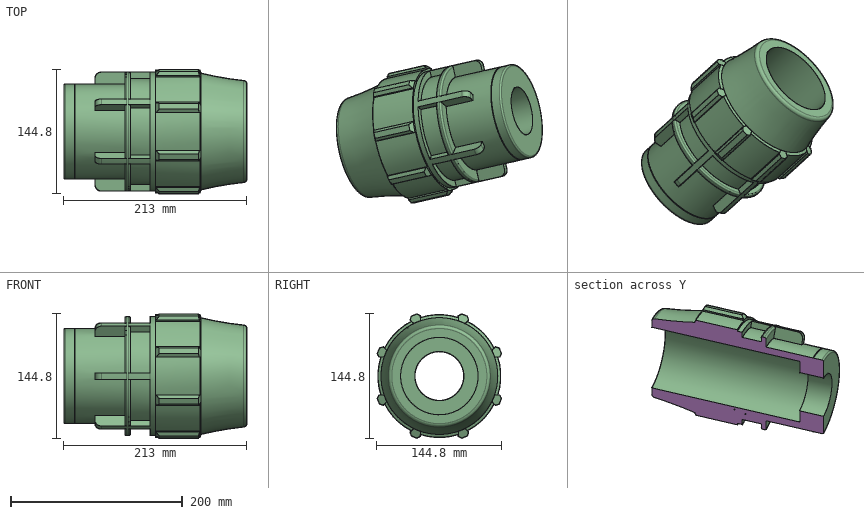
import cadquery as cq
import math

length = 213.0

body_radius = 111.0 / 2
body_end_fillet = 2.0
groove_start = 12.4
groove_width = 0.6
groove_depth = 0.2

flange_radius = 138.7 / 2
flange_start = 71.0
flange_end = 77.5
flange_fillet = 2.1
neck_radius = 61.8
collar_start = 100.5

rib_count = 6
rib_start = 36.2
rib_width = 7.7
rib_corner_radius = 7.5

nut_start = 106.7
nut_radius = 71.5
shoulder_end = 159.8
shoulder_end_radius = 68.0
taper_end_radius = 59.5
taper_sag = 0.9
nut_end_fillet = 4.0

lug_count = 8
lug_top_radius = 76.9
lug_side_radius = 73.3
lug_half_width = 6.5
lug_root_half_width = 4.3
lug_top_half_width = 3.51
lug_end = 156.5
lug_front_bevel = 4.3

inlet_bore_radius = 56.7 / 2
inlet_bore_depth = 29.8
socket_radius = 90.0 / 2

bevel_slope = (shoulder_end - lug_end) / (lug_top_radius - shoulder_end_radius)
nut_bevel_start = shoulder_end - bevel_slope * (nut_radius - shoulder_end_radius)


def cylinder(start, end, radius):
    """Solid cylinder on the X axis between two X positions."""
    return cq.Workplane("YZ").workplane(offset=start).circle(radius).extrude(end - start)


def make_body():
    """Spigot with a fine groove, neck, ring flange and collar."""
    spigot = cylinder(0, nut_start, body_radius).faces("<X").edges().fillet(body_end_fillet)
    groove_end = groove_start + groove_width
    groove = cylinder(groove_start, groove_end, body_radius + groove_depth).cut(
        cylinder(groove_start, groove_end, body_radius - groove_depth)
    )
    flange = cylinder(flange_start, flange_end, flange_radius).edges().fillet(flange_fillet)
    neck = cylinder(flange_end, collar_start, neck_radius)
    collar = cylinder(collar_start, nut_start, flange_radius)
    return spigot.cut(groove).union(flange).union(neck).union(collar)


def make_rib():
    """Rib along +Y, flush with the collar: a slab cut from a cylinder rounded at its front rim."""
    envelope = cylinder(rib_start, collar_start, flange_radius).faces("<X").edges()
    envelope = envelope.fillet(rib_corner_radius)
    slab = cq.Workplane("XY").box(length, nut_radius, rib_width, centered=(False, False, True))
    return envelope.intersect(slab)


def make_nut():
    """Revolved nut with a bevelled shoulder and a concave taper."""
    taper_end = length - nut_end_fillet
    taper_middle = (
        (shoulder_end + taper_end) / 2,
        (shoulder_end_radius + taper_end_radius) / 2 - taper_sag,
    )
    fillet_offset = nut_end_fillet * math.sqrt(0.5)
    fillet_centre = (taper_end, taper_end_radius - nut_end_fillet)
    return (
        cq.Workplane("XY")
        .moveTo(nut_start, 0)
        .lineTo(nut_start, nut_radius)
        .lineTo(nut_bevel_start, nut_radius)
        .lineTo(shoulder_end, shoulder_end_radius)
        .threePointArc(taper_middle, (taper_end, taper_end_radius))
        .threePointArc(
            (fillet_centre[0] + fillet_offset, fillet_centre[1] + fillet_offset),
            (length, fillet_centre[1]),
        )
        .lineTo(length, 0)
        .close()
        .revolve(360, (0, 0, 0), (1, 0, 0))
    )


def make_lug():
    """Lug along +Y: undercut, bevelled section trimmed to a side outline with sloped ends."""
    section = (
        cq.Workplane("YZ")
        .workplane(offset=nut_start)
        .polyline([
            (shoulder_end_radius, -lug_root_half_width),
            (lug_side_radius, -lug_half_width),
            (lug_top_radius, -lug_top_half_width),
            (lug_top_radius, lug_top_half_width),
            (lug_side_radius, lug_half_width),
            (shoulder_end_radius, lug_root_half_width),
        ])
        .close()
        .extrude(shoulder_end - nut_start)
    )
    side_outline = (
        cq.Workplane("XY")
        .polyline([
            (nut_start, shoulder_end_radius),
            (nut_start, lug_top_radius - lug_front_bevel),
            (nut_start + lug_front_bevel, lug_top_radius),
            (lug_end, lug_top_radius),
            (shoulder_end, shoulder_end_radius),
        ])
        .close()
        .extrude(lug_half_width, both=True)
    )
    return section.intersect(side_outline)


def add_around_axis(base, feature, count, first_angle):
    """Union evenly spaced copies of a feature around the X axis."""
    for index in range(count):
        angle = first_angle + index * 360 / count
        base = base.union(feature.rotate((0, 0, 0), (1, 0, 0), angle))
    return base


result = add_around_axis(make_body(), make_rib(), rib_count, 0)
result = result.union(make_nut())
result = add_around_axis(result, make_lug(), lug_count, 180 / lug_count)

result = result.cut(cylinder(0, inlet_bore_depth, inlet_bore_radius))
result = result.cut(cylinder(inlet_bore_depth, length, socket_radius))